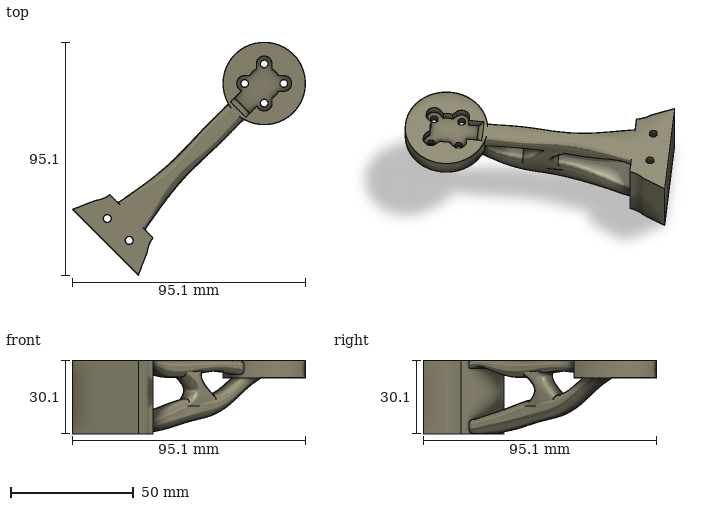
import cadquery as cq
import math

OVERALL_SPAN = 95.1
HEIGHT = 30.1
ARM_ANGLE = 45.0

DISC_DIAMETER = 33.7
DISC_RADIUS = DISC_DIAMETER / 2
DISC_THICKNESS = 7.1
DISC_HOLE_DIAMETER = 3.0
DISC_HOLE_OFFSET = 8.0
DISC_HOLE_ANGLES = (45, 135, 225, 315)

POCKET_DEPTH = 3.8
POCKET_RADIUS = 6.8
LOBE_DIAMETER = 6.5
SLOT_WIDTH = 8.8
RAMP_TOP_X = -15.0
RAMP_FOOT_X = -12.7

BASE_HALF_WIDTH = 19.0
BASE_DEPTH = 15.0
BASE_FRONT_HALF_WIDTH = 12.5
BASE_BACK_X = BASE_HALF_WIDTH - math.sqrt(2) * (OVERALL_SPAN - DISC_RADIUS)
BASE_FRONT_X = BASE_BACK_X + BASE_DEPTH
FLANK_LENGTH = 9.1
FLANK_END_HALF_WIDTH = 15.0
FLANK_ARC_MID = (12.0, 13.3)
BASE_HOLE_DIAMETER = 3.1
BASE_HOLE_SPACING = 12.65
BASE_HOLE_SETBACK = 7.4

ARM_OVERLAP = 0.95
ARM_START_X = BASE_FRONT_X - ARM_OVERLAP
SECTION_ROUNDING = 0.36
LOWER_SECTIONS = [
    (ARM_START_X, -24.2, -29.5, 7.8),
    (-69.9, -22.45, -29.4, 6.6),
    (-61.8, -20.1, -28.4, 5.2),
    (-51.4, -16.9, -26.4, 4.2),
    (-41.9, -15.2, -24.45, 4.1),
    (-32.8, -14.5, -22.6, 4.4),
    (-23.8, -11.9, -18.6, 4.5),
    (-14.7, -6.6, -12.7, 4.3),
    (-9.0, -4.8, -9.3, 4.0),
    (-4.3, -4.4, -6.85, 3.8),
]
UPPER_SECTIONS = [
    (ARM_START_X, 0.0, -4.0, 8.2),
    (-63.7, 0.0, -5.1, 5.5),
    (-50.9, 0.0, -6.85, 4.2),
    (-42.8, 0.0, -5.7, 4.1),
    (-35.0, 0.0, -4.6, 4.4),
    (-24.7, 0.0, -4.5, 4.5),
    (-15.4, 0.0, -6.2, 4.7),
]
STRUT_SECTIONS = [
    (-3.8, -53.3, -37.1, 3.9),
    (-7.6, -47.6, -38.2, 4.1),
    (-11.4, -44.2, -35.0, 4.2),
    (-15.2, -45.5, -30.4, 4.2),
    (-18.55, -50.4, -26.6, 4.1),
]


def make_disc():
    return cq.Workplane("XY").circle(DISC_RADIUS).extrude(-DISC_THICKNESS)


def make_base():
    def at(depth, half_width):
        return (BASE_BACK_X + depth, half_width)

    return (
        cq.Workplane("XY")
        .moveTo(BASE_BACK_X, -BASE_HALF_WIDTH)
        .lineTo(*at(FLANK_LENGTH, -FLANK_END_HALF_WIDTH))
        .threePointArc(at(FLANK_ARC_MID[0], -FLANK_ARC_MID[1]), (BASE_FRONT_X, -BASE_FRONT_HALF_WIDTH))
        .lineTo(BASE_FRONT_X, BASE_FRONT_HALF_WIDTH)
        .threePointArc(at(*FLANK_ARC_MID), at(FLANK_LENGTH, FLANK_END_HALF_WIDTH))
        .lineTo(BASE_BACK_X, BASE_HALF_WIDTH)
        .close()
        .extrude(-HEIGHT)
    )


def rounded_wire(plane, offset, center, size):
    """Outline of a rounded rectangle on a plane shifted along its normal."""
    block = cq.Workplane(plane).workplane(offset=offset).center(*center).rect(*size).extrude(0.95)
    normal = "|X" if plane == "YZ" else "|Z"
    start_face = "<X" if plane == "YZ" else "<Z"
    return block.edges(normal).fillet(SECTION_ROUNDING * min(size)).faces(start_face).wires().val()


def loft_through(wires):
    return cq.Workplane(cq.Solid.makeLoft(wires))


def make_member(sections):
    wires = [
        rounded_wire("YZ", x, (0, (top + bottom) / 2), (2 * half_width, top - bottom))
        for x, top, bottom, half_width in sections
    ]
    return loft_through(wires)


def make_strut():
    wires = [
        rounded_wire("XY", z, ((start + end) / 2, 0), (end - start, 2 * half_width))
        for z, start, end, half_width in STRUT_SECTIONS
    ]
    return loft_through(wires)


def make_pocket():
    pocket = cq.Workplane("XY").circle(POCKET_RADIUS).extrude(-POCKET_DEPTH)
    for angle in DISC_HOLE_ANGLES:
        lobe = (
            cq.Workplane("XY")
            .center(DISC_HOLE_OFFSET / 2, 0)
            .slot2D(DISC_HOLE_OFFSET + LOBE_DIAMETER, LOBE_DIAMETER)
            .extrude(-POCKET_DEPTH)
        )
        pocket = pocket.union(lobe.rotate((0, 0, 0), (0, 0, 1), angle))
    slot = (
        cq.Workplane("XZ")
        .polyline([(0, 0), (RAMP_TOP_X, 0), (RAMP_FOOT_X, -POCKET_DEPTH), (0, -POCKET_DEPTH)])
        .close()
        .extrude(SLOT_WIDTH / 2, both=True)
    )
    return pocket.union(slot)


def make_holes():
    disc_holes = (
        cq.Workplane("XY")
        .polarArray(DISC_HOLE_OFFSET, DISC_HOLE_ANGLES[0], 360, len(DISC_HOLE_ANGLES))
        .circle(DISC_HOLE_DIAMETER / 2)
        .extrude(-HEIGHT)
    )
    base_holes = (
        cq.Workplane("XY")
        .center(BASE_BACK_X + BASE_HOLE_SETBACK, 0)
        .rarray(0.95, BASE_HOLE_SPACING, 1, 2)
        .circle(BASE_HOLE_DIAMETER / 2)
        .extrude(-HEIGHT)
    )
    return disc_holes.union(base_holes)


arm = make_member(UPPER_SECTIONS).union(make_strut()).union(make_member(LOWER_SECTIONS))
body = arm.union(make_base()).union(make_disc())
body = body.cut(make_pocket()).cut(make_holes())
result = body.rotate((0, 0, 0), (0, 0, 1), ARM_ANGLE)